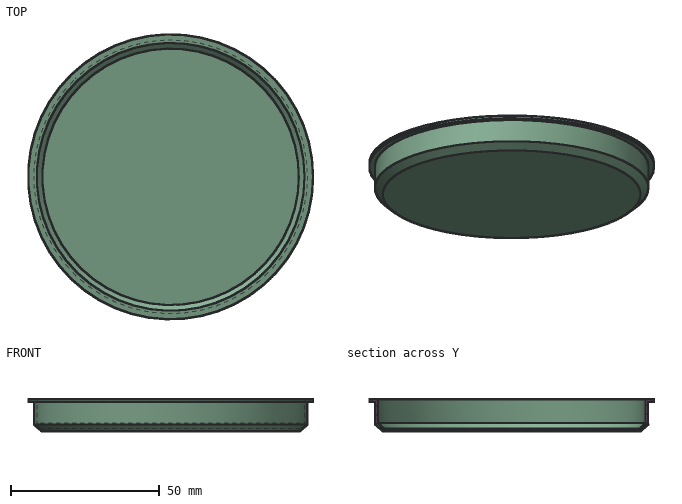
import cadquery as cq

rim_diameter = 95.8
body_diameter = 92.0
cavity_diameter = 90.0
total_height = 10.8

rim_thickness = 1.0
floor_thickness = 1.0
outer_bevel_width = 2.7
outer_bevel_height = 2.3
inner_bevel = 1.9

rim_radius = rim_diameter / 2
body_radius = body_diameter / 2
cavity_radius = cavity_diameter / 2
rim_underside = total_height - rim_thickness
inner_bevel_top = floor_thickness + inner_bevel

section = (
    cq.Workplane("XZ")
    .lineTo(body_radius - outer_bevel_width, 0)
    .lineTo(body_radius, outer_bevel_height)
    .lineTo(body_radius, rim_underside)
    .lineTo(rim_radius, rim_underside)
    .lineTo(rim_radius, total_height)
    .lineTo(cavity_radius, total_height)
    .lineTo(cavity_radius, inner_bevel_top)
    .lineTo(cavity_radius - inner_bevel, floor_thickness)
    .lineTo(0, floor_thickness)
    .close()
)

result = section.revolve(360, (0, 0, 0), (0, 1, 0))